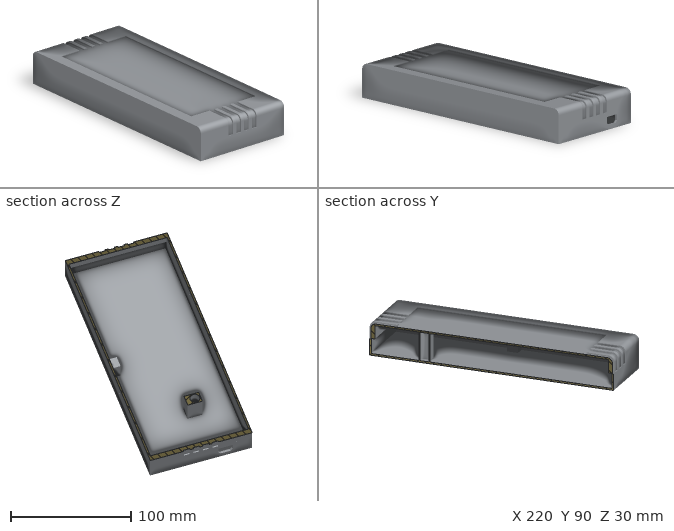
import cadquery as cq

length = 220.0
width = 90.0
height = 30.0
base_height = 15.0
wall = 2.0
top_thickness = 3.0
edge_radius = 5.0

panel_length = 170.0
panel_width = 69.5
panel_recess = 1.0
panel_thickness = top_thickness - panel_recess
panel_bottom = height - top_thickness

groove_count = 4
groove_width = 5.0
groove_pitch = 8.4
groove_depth = 1.0

plug_width = 12.3
plug_height = 7.3
plug_chamfer = 2.0
plug_y = -21.5
plug_bottom = 4.0

back_post_side = 10.0
bored_post_length = 10.1
bored_post_width = 13.2
bored_post_x = -60.5
bored_post_y = -9.7
bore_diameter = 8.0
bore_edge_gap = 1.0


def rounded_block(block_length, block_width, bottom, top):
    """Block with its two long-end top edges rounded."""
    return (
        cq.Workplane("XY", origin=(0, 0, bottom))
        .box(block_length, block_width, top - bottom, centered=(True, True, False))
        .edges("|Y and >Z")
        .fillet(edge_radius)
    )


def groove_cutter(y):
    """Material outside the groove floor at one groove, on both ends and the top of the lid."""
    outer = (
        cq.Workplane("XY", origin=(0, y, base_height))
        .box(length, groove_width, height - base_height, centered=(True, True, False))
    )
    floor = rounded_block(
        length - 2 * groove_depth, groove_width, base_height, height - groove_depth
    ).translate((0, y, 0))
    return outer.cut(floor)


def make_lid():
    lid = rounded_block(length, width, base_height, height)

    cavity = cq.Workplane("XY", origin=(0, 0, base_height)).box(
        length - 2 * edge_radius,
        width - 2 * wall,
        panel_bottom - base_height,
        centered=(True, True, False),
    )
    window = cq.Workplane("XY", origin=(0, 0, panel_bottom)).box(
        panel_length, panel_width, top_thickness, centered=(True, True, False)
    )
    lid = lid.cut(cavity).cut(window)

    for i in range(groove_count):
        y = (i - (groove_count - 1) / 2) * groove_pitch
        lid = lid.cut(groove_cutter(y))
    return lid


def make_panel():
    return cq.Workplane("XY", origin=(0, 0, panel_bottom)).box(
        panel_length, panel_width, panel_thickness, centered=(True, True, False)
    )


def post(x, y, post_length, post_width, top):
    """Rectangular post standing on the base floor."""
    return cq.Workplane("XY", origin=(x, y, wall)).box(
        post_length, post_width, top - wall, centered=(True, True, False)
    )


def back_post():
    """Post against the middle of the +Y wall, as tall as the base."""
    y = width / 2 - back_post_side / 2
    return post(0, y, back_post_side, back_post_side, base_height)


def bored_post():
    """Post that reaches up to the panel, bored down to the base floor near its -Y face."""
    body = post(bored_post_x, bored_post_y, bored_post_length, bored_post_width, panel_bottom)
    bore_y = bored_post_y - bored_post_width / 2 + bore_edge_gap + bore_diameter / 2
    bore = cq.Workplane("XY", origin=(bored_post_x, bore_y, wall)).circle(bore_diameter / 2)
    return body.cut(bore.extrude(panel_bottom - wall))


def plug_opening():
    """Opening through the -X wall with its two lower corners cut off."""
    return (
        cq.Workplane("XY", origin=(-length / 2, plug_y, plug_bottom))
        .box(2 * wall, plug_width, plug_height, centered=(True, True, False))
        .edges("|X and <Z")
        .chamfer(plug_chamfer)
    )


def make_base():
    base = cq.Workplane("XY").box(length, width, base_height, centered=(True, True, False))
    cavity = cq.Workplane("XY", origin=(0, 0, wall)).box(
        length - 2 * wall, width - 2 * wall, base_height, centered=(True, True, False)
    )
    base = base.cut(cavity)
    base = base.union(back_post()).union(bored_post())
    return base.cut(plug_opening())


base = make_base()
lid = make_lid()
panel = make_panel()

result = cq.Compound.makeCompound([base.val(), lid.val(), panel.val()])